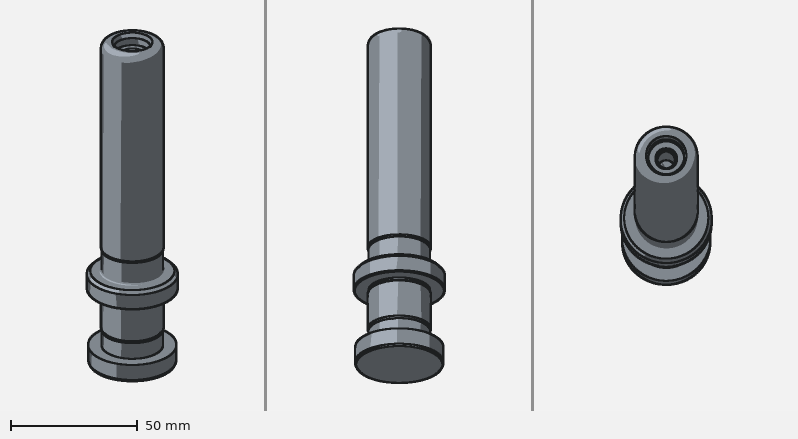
import cadquery as cq
import math

overall_height = 142.0
retainer_rim_height = 7.5
retainer_height = 14.5
groove_bottom = 30.8
flange_bottom = 32.2
flange_top = 40.3
relief_top = 51.0

pin_radius = 12.5
neck_radius = 12.2
flange_radius = 18.0
nose_fillet = 3.1
pin_end_chamfer = 1.0
flange_top_chamfer = 1.4
flange_bottom_chamfer = 0.4
neck_root_fillet = 0.9
relief_end_height = 0.9
groove_end_height = 0.4

recess_radius = 7.1
recess_depth = 5.1
drill_radius = 3.4
drill_depth = 21.3
mouth_chamfer_width = 0.9
mouth_chamfer_depth = 2.0
countersink_radius = 4.3
counterbore_radius = 3.7
counterbore_depth = 2.0
countersink_angle = 60.0
drill_point_angle = 118.0

retainer_rim_radius = 17.5
rim_chamfer_width = 0.4
rim_chamfer_height = 0.9


def revolve_profile(profile):
    """Turn a closed radius-height profile about the Z axis."""
    return profile.close().revolve(360, (0, 0, 0), (0, 1, 0))


def fillet_mid_offset(radius):
    """Distance from a corner's legs to the middle of its fillet arc."""
    return radius * (1 - math.sqrt(0.5))


def make_centre_hole():
    countersink_width = countersink_radius - counterbore_radius
    countersink_depth = countersink_width / math.tan(math.radians(countersink_angle / 2))
    point_depth = drill_radius / math.tan(math.radians(drill_point_angle / 2))
    recess_floor = overall_height - recess_depth
    drill_bottom = overall_height - drill_depth
    profile = (
        cq.Workplane("XZ")
        .moveTo(0, overall_height)
        .lineTo(recess_radius + mouth_chamfer_width, overall_height)
        .lineTo(recess_radius, overall_height - mouth_chamfer_depth)
        .lineTo(recess_radius, recess_floor)
        .lineTo(countersink_radius, recess_floor)
        .lineTo(counterbore_radius, recess_floor - countersink_depth)
        .lineTo(counterbore_radius, recess_floor - counterbore_depth)
        .lineTo(drill_radius, recess_floor - counterbore_depth)
        .lineTo(drill_radius, drill_bottom)
        .lineTo(0, drill_bottom - point_depth)
    )
    return revolve_profile(profile)


def make_guide_pin():
    root_mid = fillet_mid_offset(neck_root_fillet)
    nose_mid = fillet_mid_offset(nose_fillet)
    profile = (
        cq.Workplane("XZ")
        .moveTo(0, retainer_height)
        .lineTo(pin_radius - pin_end_chamfer, retainer_height)
        .lineTo(pin_radius, retainer_height + pin_end_chamfer)
        .lineTo(pin_radius, groove_bottom)
        .lineTo(neck_radius, groove_bottom + groove_end_height)
        .lineTo(neck_radius, flange_bottom)
        .lineTo(flange_radius - flange_bottom_chamfer, flange_bottom)
        .lineTo(flange_radius, flange_bottom + flange_bottom_chamfer)
        .lineTo(flange_radius, flange_top - flange_top_chamfer)
        .lineTo(flange_radius - flange_top_chamfer, flange_top)
        .lineTo(neck_radius + neck_root_fillet, flange_top)
        .threePointArc(
            (neck_radius + root_mid, flange_top + root_mid),
            (neck_radius, flange_top + neck_root_fillet),
        )
        .lineTo(neck_radius, relief_top - relief_end_height)
        .lineTo(pin_radius, relief_top)
        .lineTo(pin_radius, overall_height - nose_fillet)
        .threePointArc(
            (pin_radius - nose_mid, overall_height - nose_mid),
            (pin_radius - nose_fillet, overall_height),
        )
        .lineTo(0, overall_height)
    )
    return revolve_profile(profile).cut(make_centre_hole())


def make_retainer():
    profile = (
        cq.Workplane("XZ")
        .moveTo(0, 0)
        .lineTo(retainer_rim_radius - rim_chamfer_width, 0)
        .lineTo(retainer_rim_radius, rim_chamfer_height)
        .lineTo(retainer_rim_radius, retainer_rim_height)
        .lineTo(neck_radius, retainer_rim_height)
        .lineTo(neck_radius, retainer_height)
        .lineTo(0, retainer_height)
    )
    return revolve_profile(profile)


guide_pin = make_guide_pin()
retainer = make_retainer()

result = cq.Compound.makeCompound([guide_pin.val(), retainer.val()])